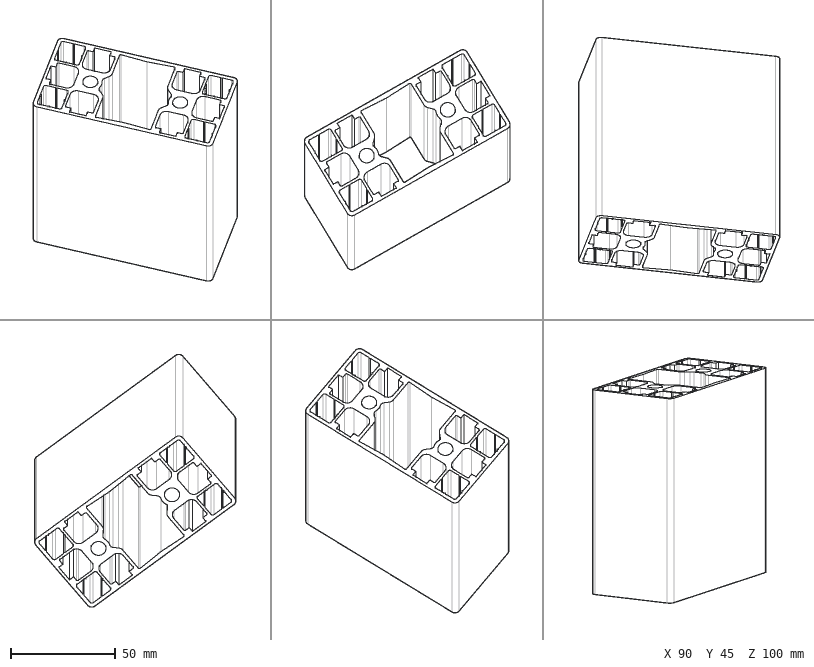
import cadquery as cq

module = 45.0
length = 100.0
outer_radius = 2.5
module_center = module / 2

bore_diameter = 7.2
core_radius = 5.7

slot_width = 14.0
neck_width = 8.3
skin = 1.5
lip_depth = 4.0
slot_depth = 15.4
slot_inner_radius = 3.2
slot_lip_radius = 0.6

corner_wall = 1.9
corner_size = 12.3
corner_radius = 1.0
rib_height = 0.4

chamber_half_width = 13.9
chamber_wall = 1.9
wall_bulge = 0.7
chamber_radius = 0.6
recess_half_height = 6.7
recess_radius = 2.0
mouth_radius = 3.0


def block(x_min, x_max, y_min, y_max):
    """Full-length block between the given X and Y limits."""
    width = x_max - x_min
    depth = y_max - y_min
    return cq.Workplane("XY").box(width, depth, length, centered=False).translate((x_min, y_min, 0))


def rod(x, y, radius):
    """Full-length cylinder at the given place."""
    return cq.Workplane("XY").center(x, y).circle(radius).extrude(length)


def t_slot():
    """T-slot space on the +Y side of a module centred on the origin."""
    face = module / 2
    pocket = block(-slot_width / 2, slot_width / 2, face - slot_depth, face - lip_depth)
    pocket = pocket.edges("|Z and <Y").fillet(slot_inner_radius)
    pocket = pocket.edges("|Z and >Y").fillet(slot_lip_radius)
    neck = block(-neck_width / 2, neck_width / 2, face - slot_depth / 2, face - skin)
    return pocket.union(neck)


def corner_chamber():
    """Corner chamber space in the +X +Y corner of the profile."""
    x_max = module - corner_wall
    y_max = module / 2 - corner_wall
    x_min = x_max - corner_size
    y_min = y_max - corner_size
    x_mid = (x_min + x_max) / 2
    y_mid = (y_min + y_max) / 2
    chamber = block(x_min, x_max, y_min, y_max).edges("|Z").fillet(corner_radius)
    for x, y in [(x_min, y_mid), (x_max, y_mid), (x_mid, y_min), (x_mid, y_max)]:
        rib = cq.Workplane("XY").center(x, y).polygon(4, 2 * rib_height).extrude(length)
        chamber = chamber.cut(rib)
    return chamber


def side_recess():
    """Recess of the middle chamber that narrows at 45 degrees around the core on the +X side."""
    tip = chamber_half_width + recess_half_height
    wedge = (
        cq.Workplane("XY")
        .moveTo(0, -recess_half_height)
        .lineTo(chamber_half_width, -recess_half_height)
        .lineTo(tip, 0)
        .lineTo(chamber_half_width, recess_half_height)
        .lineTo(0, recess_half_height)
        .close()
        .extrude(length)
    )
    recess = wedge.cut(rod(module_center, 0, core_radius))
    return recess.edges("|Z and >X").fillet(recess_radius)


def middle_chamber():
    """Middle chamber with bulging long walls and a recess on each side."""
    corner_y = module / 2 - chamber_wall
    crest_y = corner_y - wall_bulge
    chamber = (
        cq.Workplane("XY")
        .moveTo(-chamber_half_width, -corner_y)
        .lineTo(0, -crest_y)
        .lineTo(chamber_half_width, -corner_y)
        .lineTo(chamber_half_width, corner_y)
        .lineTo(0, crest_y)
        .lineTo(-chamber_half_width, corner_y)
        .close()
        .extrude(length)
    )
    chamber = chamber.edges("|Z and (<X or >X)").fillet(chamber_radius)
    recess = side_recess()
    chamber = chamber.union(recess).union(recess.mirror("YZ"))
    margin = 0.5
    mouth_edges = cq.selectors.BoxSelector(
        (-chamber_half_width - margin, -recess_half_height - margin, 0),
        (chamber_half_width + margin, recess_half_height + margin, length),
    )
    return chamber.edges("|Z").edges(mouth_edges).fillet(mouth_radius)


body = block(-module, module, -module / 2, module / 2).edges("|Z").fillet(outer_radius)
body = body.cut(middle_chamber())

z_axis = ((0, 0, 0), (0, 0, 1))
for side in (-1, 1):
    body = body.cut(rod(side * module_center, 0, bore_diameter / 2))
    for angle in (0, 180, -90 * side):
        body = body.cut(t_slot().rotate(*z_axis, angle).translate((side * module_center, 0, 0)))

chamber = corner_chamber()
for corner in (chamber, chamber.mirror("YZ")):
    body = body.cut(corner)
    body = body.cut(corner.mirror("XZ"))

result = body